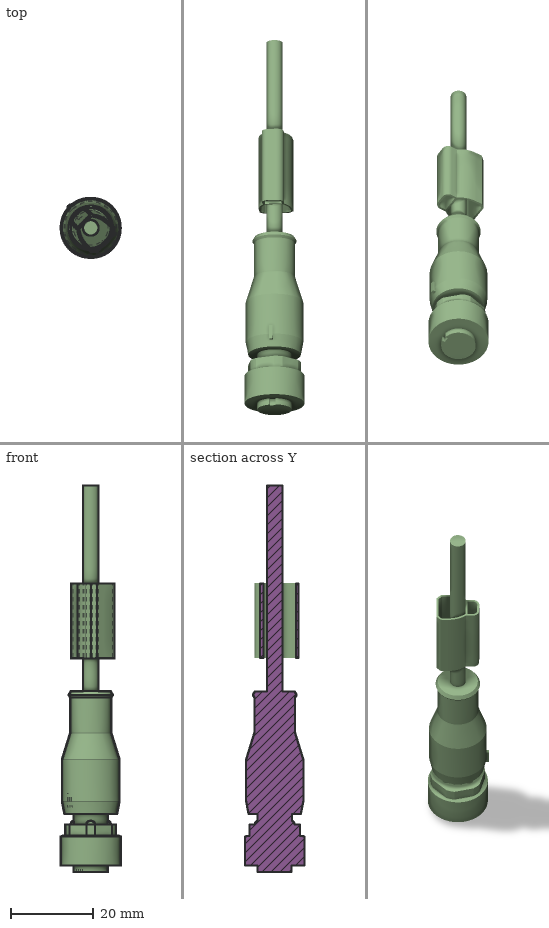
import cadquery as cq
import math

TOTAL_LENGTH = 94.0
KEY_ANGLE = 135.0

CABLE_RADIUS = 1.9

SHAFT_RADIUS = 4.2
KEYWAY_WIDTH = 1.4
KEYWAY_DEPTH = 0.7

SKIRT_RADIUS = 7.3
SKIRT_BOTTOM = 1.6
SKIRT_TOP = 8.9
SKIRT_CHAMFER_HEIGHT = 0.25
SKIRT_CHAMFER_WIDTH = 0.55
HEX_ACROSS_FLATS = 12.4
HEX_CORNER_RADIUS = 6.65
HEX_TOP = 11.65

BUMP_COUNT = 4
BUMP_RADIUS = 1.1
BUMP_AXIS_DISTANCE = 3.8
BUMP_HEIGHT = 11.5

GRIP_BOTTOM = 14.1
GRIP_BOTTOM_RADIUS = 6.4
GRIP_BODY_BOTTOM = 17.2
GRIP_BODY_TOP = 27.4
GRIP_RADIUS = 7.0
NECK_BOTTOM = 33.9
NECK_RADIUS = 5.0
BEAD_BOTTOM = 42.5
BEAD_WIDEST = 43.1
BEAD_RADIUS = 5.4
GRIP_TOP = 44.0
GRIP_TOP_RADIUS = 4.85

KEY_BOTTOM = 15.8
KEY_TOP = 19.2
KEY_WIDTH = 0.8
KEY_OUTER_RADIUS = 7.6

SLEEVE_BOTTOM = 52.0
SLEEVE_LENGTH = 18.2
SLEEVE_WALL = 0.5
LOBE_END = -5.2
LOBE_HALF_WIDTH = 2.6
LOBE_CORNER_RADIUS = 1.6
WAIST = -2.0
BULGE_END = 2.3
CHANNEL_HALF_WIDTH = 4.1
CHANNEL_END = 5.2
CHANNEL_CHAMFER = 1.05
CABLE_OVERLAP = 0.05


def cylinder(radius, bottom, top):
    return cq.Workplane("XY").workplane(offset=bottom).circle(radius).extrude(top - bottom)


def turn_to_key(shape, extra_angle=0.0):
    """Turn a shape built along +X to the key direction."""
    return shape.rotate((0, 0, 0), (0, 0, 1), KEY_ANGLE + extra_angle)


def make_insert_and_shaft():
    shaft = cylinder(SHAFT_RADIUS, 0, GRIP_BOTTOM)
    keyway = cq.Workplane("XY").box(
        2 * KEYWAY_DEPTH, KEYWAY_WIDTH, SKIRT_BOTTOM, centered=(True, True, False)
    )
    return shaft.cut(turn_to_key(keyway.translate((SHAFT_RADIUS, 0, 0))))


def make_coupling_nut():
    skirt = (
        cylinder(SKIRT_RADIUS, SKIRT_BOTTOM, SKIRT_TOP)
        .faces(">Z")
        .chamfer(SKIRT_CHAMFER_HEIGHT, SKIRT_CHAMFER_WIDTH)
    )
    hexagon_diameter = HEX_ACROSS_FLATS / math.cos(math.pi / 6)
    hexagon = (
        cq.Workplane("XY")
        .workplane(offset=SKIRT_BOTTOM)
        .transformed(rotate=(0, 0, 30))
        .polygon(6, hexagon_diameter)
        .extrude(HEX_TOP - SKIRT_BOTTOM)
        .intersect(cylinder(HEX_CORNER_RADIUS, SKIRT_BOTTOM, HEX_TOP))
    )
    return skirt.union(hexagon)


def make_bumps():
    return (
        cq.Workplane("XY")
        .workplane(offset=BUMP_HEIGHT)
        .polarArray(BUMP_AXIS_DISTANCE, 0, 360, BUMP_COUNT)
        .sphere(BUMP_RADIUS)
    )


def make_grip():
    return (
        cq.Workplane("XZ")
        .moveTo(0, GRIP_BOTTOM)
        .lineTo(GRIP_BOTTOM_RADIUS, GRIP_BOTTOM)
        .lineTo(GRIP_RADIUS, GRIP_BODY_BOTTOM)
        .lineTo(GRIP_RADIUS, GRIP_BODY_TOP)
        .lineTo(NECK_RADIUS, NECK_BOTTOM)
        .lineTo(NECK_RADIUS, BEAD_BOTTOM)
        .lineTo(BEAD_RADIUS, BEAD_WIDEST)
        .lineTo(GRIP_TOP_RADIUS, GRIP_TOP)
        .lineTo(0, GRIP_TOP)
        .close()
        .revolve(360, (0, 0), (0, 1))
    )


def make_key():
    length = KEY_OUTER_RADIUS - SHAFT_RADIUS
    key = cq.Workplane("XY").box(
        length, KEY_WIDTH, KEY_TOP - KEY_BOTTOM, centered=(False, True, False)
    )
    return turn_to_key(key.translate((SHAFT_RADIUS, 0, KEY_BOTTOM)))


def sleeve_outline():
    """Outer section of the marker sleeve: a small lobe joined to a wide channel."""
    lobe_corner_x = LOBE_END + LOBE_CORNER_RADIUS
    lobe_corner_y = LOBE_HALF_WIDTH - LOBE_CORNER_RADIUS
    chamfer_x = CHANNEL_END - CHANNEL_CHAMFER
    chamfer_y = CHANNEL_HALF_WIDTH - CHANNEL_CHAMFER
    corner_reach = LOBE_CORNER_RADIUS * math.sqrt(0.5)
    lobe_arc_mid = (lobe_corner_x - corner_reach, lobe_corner_y + corner_reach)

    bulge_length = BULGE_END - WAIST
    bulge_rise = CHANNEL_HALF_WIDTH - LOBE_HALF_WIDTH
    bulge_radius = (bulge_length**2 + bulge_rise**2) / (2 * bulge_rise)
    bulge_half_angle = math.atan2(bulge_rise, bulge_length)
    bulge_mid = (
        BULGE_END - bulge_radius * math.sin(bulge_half_angle),
        CHANNEL_HALF_WIDTH - bulge_radius * (1 - math.cos(bulge_half_angle)),
    )
    return (
        cq.Workplane("XY")
        .workplane(offset=SLEEVE_BOTTOM)
        .moveTo(LOBE_END, -lobe_corner_y)
        .lineTo(LOBE_END, lobe_corner_y)
        .threePointArc(lobe_arc_mid, (lobe_corner_x, LOBE_HALF_WIDTH))
        .lineTo(WAIST, LOBE_HALF_WIDTH)
        .threePointArc(bulge_mid, (BULGE_END, CHANNEL_HALF_WIDTH))
        .lineTo(chamfer_x, CHANNEL_HALF_WIDTH)
        .lineTo(CHANNEL_END, chamfer_y)
        .lineTo(CHANNEL_END, -chamfer_y)
        .lineTo(chamfer_x, -CHANNEL_HALF_WIDTH)
        .lineTo(BULGE_END, -CHANNEL_HALF_WIDTH)
        .threePointArc((bulge_mid[0], -bulge_mid[1]), (WAIST, -LOBE_HALF_WIDTH))
        .lineTo(lobe_corner_x, -LOBE_HALF_WIDTH)
        .threePointArc((lobe_arc_mid[0], -lobe_arc_mid[1]), (LOBE_END, -lobe_corner_y))
        .close()
    )


def make_marker_sleeve():
    outer = sleeve_outline().extrude(SLEEVE_LENGTH)
    cavity = sleeve_outline().offset2D(-SLEEVE_WALL, "intersection").extrude(SLEEVE_LENGTH)
    partition_face = CABLE_OVERLAP - CABLE_RADIUS
    partition = (
        cq.Workplane("XY")
        .box(SLEEVE_WALL, 2 * LOBE_HALF_WIDTH, SLEEVE_LENGTH, centered=(True, True, False))
        .translate((partition_face - SLEEVE_WALL / 2, 0, SLEEVE_BOTTOM))
        .intersect(outer)
    )
    return turn_to_key(outer.cut(cavity).union(partition), 180)


result = (
    make_insert_and_shaft()
    .union(make_coupling_nut())
    .union(make_bumps())
    .union(make_grip())
    .union(make_key())
    .union(cylinder(CABLE_RADIUS, GRIP_TOP, TOTAL_LENGTH))
    .union(make_marker_sleeve())
)